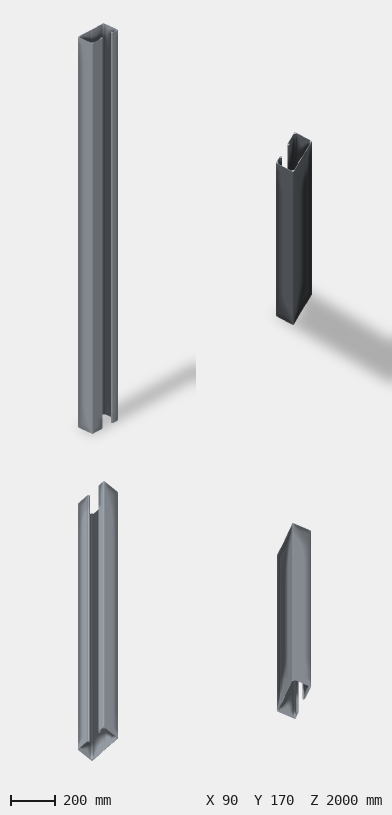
import cadquery as cq

depth = 90.0
width = 170.0
length = 2000.0

wall = 2.0
outer_radius = 3.0

stiffener_radius = 9.0
stiffener_embed = 0.5

groove_top = 45.0
groove_bottom = -29.0
groove_depth = 1.0

band_top = 40.0
band_bottom = 5.0
band_height = 2.0

slot_top = 50.0
slot_bottom = -19.0
bead_radius = 5.0
bead_overlap = 1.0

half_depth = depth / 2
half_width = width / 2
inner_half_depth = half_depth - wall
inner_half_width = half_width - wall


def block(x_min, x_max, y_min, y_max):
    """Full-length rectangular bar between the given limits."""
    bar = cq.Workplane("XY").box(x_max - x_min, y_max - y_min, length, centered=False)
    return bar.translate((x_min, y_min, -length / 2))


def rod(x, y, radius):
    """Full-length round bar centered on the given point."""
    base = cq.Workplane("XY").workplane(offset=-length / 2)
    return base.center(x, y).circle(radius).extrude(length)


def tube():
    """Closed rectangular tube, rounded on the outside only."""
    outside = block(-half_depth, half_depth, -half_width, half_width)
    outside = outside.edges("|Z").fillet(outer_radius)
    inside = block(-inner_half_depth, inner_half_depth, -inner_half_width, inner_half_width)
    return outside.cut(inside)


def corner_stiffeners():
    """Quarter-round bars filling the inner corners."""
    x_limit = inner_half_depth + stiffener_embed
    y_limit = inner_half_width + stiffener_embed
    bars = cq.Workplane("XY")
    for x in (-x_limit, x_limit):
        for y in (-y_limit, y_limit):
            bars = bars.add(rod(x, y, stiffener_radius))
    return bars.combine().intersect(block(-x_limit, x_limit, -y_limit, y_limit))


def back_groove():
    """Volume removed from the outside of the back wall."""
    return block(-half_depth, -half_depth + groove_depth, groove_bottom, groove_top)


def back_band():
    """Inside band, starting at the floor of the groove."""
    return block(-half_depth + groove_depth, -inner_half_depth + band_height, band_bottom, band_top)


def front_slot():
    """Volume removed from the front wall."""
    return block(inner_half_depth, half_depth, slot_bottom, slot_top)


def slot_bead(edge):
    """Round bead along the inside of one slot edge."""
    return rod(inner_half_depth - bead_radius + bead_overlap, edge, bead_radius)


result = tube().union(corner_stiffeners())
result = result.cut(back_groove()).union(back_band())
result = result.cut(front_slot())
for slot_edge in (slot_top, slot_bottom):
    result = result.union(slot_bead(slot_edge))